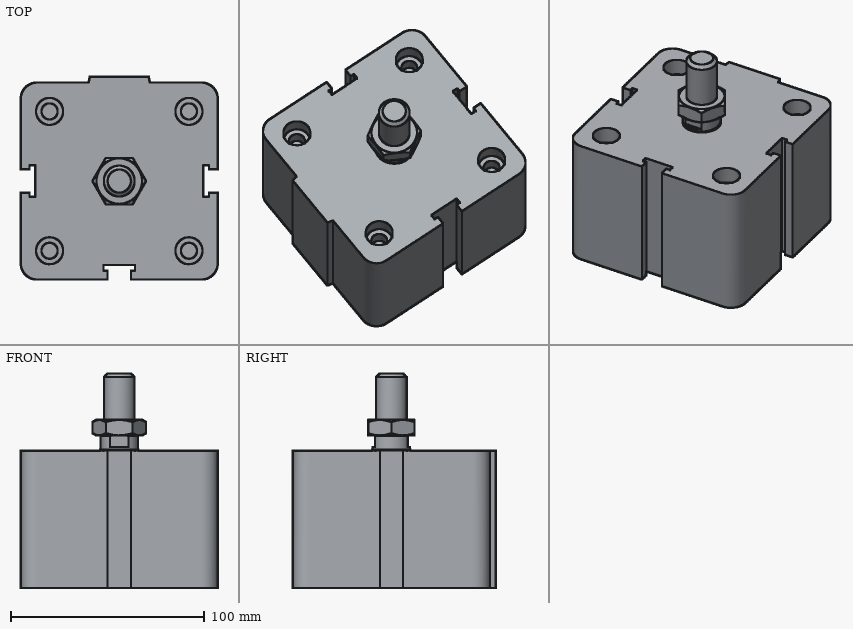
import cadquery as cq
import math

HOUSING_SIDE = 102.0
HOUSING_HEIGHT = 71.0
CORNER_RADIUS = 8.5

OVERALL_DEPTH = 105.0
PAD_HEIGHT = OVERALL_DEPTH - HOUSING_SIDE
PAD_BASE_WIDTH = 31.7
PAD_TOP_WIDTH = 30.5

SLOT_MOUTH_WIDTH = 12.0
SLOT_INNER_WIDTH = 16.2
SLOT_LIP = 4.7
SLOT_DEPTH = 7.5
SLOT_ANGLES = (0, 180, 270)

HOLE_SPACING = 72.0
COUNTERBORE_DIAMETER = 14.0
COUNTERBORE_DEPTH = 9.0
HOLE_DIAMETER = 8.3
HOLE_DEPTH = 16.6

ROD_TOP = 111.0
ROD_SEAT_DEPTH = 16.6
ROD_BASE_DIAMETER = 20.0
SHANK_DIAMETER = 19.5
ROD_BASE_PROTRUSION = 0.5
SHOULDER_CHAMFER = 0.2
WRENCH_FLAT_BOTTOM = 72.9
WRENCH_FLAT_WIDTH = 17.0
THREAD_DIAMETER = 16.0
THREAD_CHAMFER = 2.0

NUT_BOTTOM = 78.8
NUT_HEIGHT = 8.2
NUT_ACROSS_FLATS = 24.0
NUT_FACE_DIAMETER = 23.5
NUT_CHAMFER_ANGLE = 30.0


def make_t_slot(angle):
    """T-slot cutter for the +X side, turned about Z to the wanted side."""
    outer_face = HOUSING_SIDE / 2
    mouth = cq.Workplane("XY").box(
        SLOT_DEPTH, SLOT_MOUTH_WIDTH, HOUSING_HEIGHT, centered=(False, True, False)
    )
    undercut = cq.Workplane("XY").box(
        SLOT_DEPTH - SLOT_LIP, SLOT_INNER_WIDTH, HOUSING_HEIGHT, centered=(False, True, False)
    )
    slot = mouth.union(undercut).translate((outer_face - SLOT_DEPTH, 0, 0))
    return slot.rotate((0, 0, 0), (0, 0, 1), angle)


def make_pad():
    """Trapezoidal pad standing out from the +Y side over the full height."""
    base_y = HOUSING_SIDE / 2
    top_y = base_y + PAD_HEIGHT
    return (
        cq.Workplane("XY")
        .moveTo(-PAD_BASE_WIDTH / 2, base_y)
        .lineTo(-PAD_TOP_WIDTH / 2, top_y)
        .lineTo(PAD_TOP_WIDTH / 2, top_y)
        .lineTo(PAD_BASE_WIDTH / 2, base_y)
        .close()
        .extrude(HOUSING_HEIGHT)
    )


def make_housing():
    block = (
        cq.Workplane("XY")
        .rect(HOUSING_SIDE, HOUSING_SIDE)
        .extrude(HOUSING_HEIGHT)
        .edges("|Z")
        .fillet(CORNER_RADIUS)
    )
    block = block.union(make_pad())
    for angle in SLOT_ANGLES:
        block = block.cut(make_t_slot(angle))
    top_plane = cq.Workplane("XY", origin=(0, 0, HOUSING_HEIGHT))
    counterbores = (
        top_plane.rarray(HOLE_SPACING, HOLE_SPACING, 2, 2)
        .circle(COUNTERBORE_DIAMETER / 2)
        .extrude(-COUNTERBORE_DEPTH)
    )
    holes = (
        top_plane.rarray(HOLE_SPACING, HOLE_SPACING, 2, 2)
        .circle(HOLE_DIAMETER / 2)
        .extrude(-HOLE_DEPTH)
    )
    rod_seat = top_plane.circle(ROD_BASE_DIAMETER / 2).extrude(-ROD_SEAT_DEPTH)
    return block.cut(counterbores).cut(holes).cut(rod_seat)


def make_rod():
    seat_bottom = HOUSING_HEIGHT - ROD_SEAT_DEPTH
    base_top = HOUSING_HEIGHT + ROD_BASE_PROTRUSION
    base_radius = ROD_BASE_DIAMETER / 2
    shank_radius = SHANK_DIAMETER / 2
    thread_radius = THREAD_DIAMETER / 2
    rod = (
        cq.Workplane("XZ")
        .moveTo(0, seat_bottom)
        .lineTo(base_radius, seat_bottom)
        .lineTo(base_radius, base_top)
        .lineTo(shank_radius, base_top)
        .lineTo(shank_radius, NUT_BOTTOM - SHOULDER_CHAMFER)
        .lineTo(shank_radius - SHOULDER_CHAMFER, NUT_BOTTOM)
        .lineTo(thread_radius, NUT_BOTTOM)
        .lineTo(thread_radius, ROD_TOP - THREAD_CHAMFER)
        .lineTo(thread_radius - THREAD_CHAMFER, ROD_TOP)
        .lineTo(0, ROD_TOP)
        .close()
        .revolve(360, (0, 0, 0), (0, 1, 0))
    )
    flat_height = NUT_BOTTOM - WRENCH_FLAT_BOTTOM
    flats = (
        cq.Workplane("XY", origin=(0, 0, WRENCH_FLAT_BOTTOM))
        .rect(ROD_BASE_DIAMETER, ROD_BASE_DIAMETER)
        .rect(ROD_BASE_DIAMETER, WRENCH_FLAT_WIDTH)
        .extrude(flat_height)
    )
    return rod.cut(flats)


def make_nut():
    corner_radius = NUT_ACROSS_FLATS / math.sqrt(3)
    face_radius = NUT_FACE_DIAMETER / 2
    chamfer_height = (corner_radius - face_radius) * math.tan(math.radians(NUT_CHAMFER_ANGLE))
    nut_top = NUT_BOTTOM + NUT_HEIGHT
    hexagon = (
        cq.Workplane("XY", origin=(0, 0, NUT_BOTTOM))
        .polygon(6, 2 * corner_radius)
        .circle(THREAD_DIAMETER / 2)
        .extrude(NUT_HEIGHT)
    )
    bevel = (
        cq.Workplane("XZ")
        .moveTo(0, NUT_BOTTOM)
        .lineTo(face_radius, NUT_BOTTOM)
        .lineTo(corner_radius, NUT_BOTTOM + chamfer_height)
        .lineTo(corner_radius, nut_top - chamfer_height)
        .lineTo(face_radius, nut_top)
        .lineTo(0, nut_top)
        .close()
        .revolve(360, (0, 0, 0), (0, 1, 0))
    )
    return hexagon.intersect(bevel)


housing = make_housing()
rod = make_rod()
nut = make_nut()

result = cq.Compound.makeCompound([housing.val(), rod.val(), nut.val()])